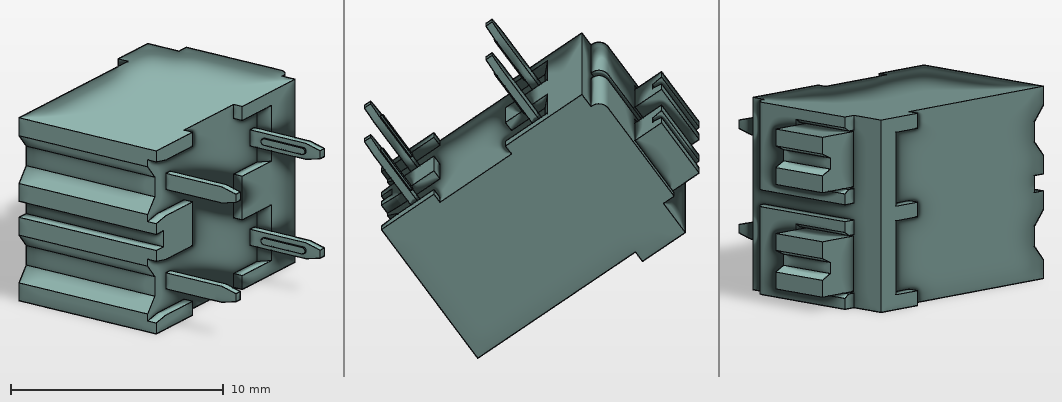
import cadquery as cq

TOTAL_X = 11.9
TOTAL_Y = 13.65
TOTAL_Z = 9.2
POLE_PITCH = 5.0
POLE_CENTRES = (-POLE_PITCH / 2, POLE_PITCH / 2)

FLANGE_LIP = 0.57
HOUSING_X = 8.4
SHOULDER_Y = 11.56
FLANGE_BOTTOM_Y = 9.09
FLANGE_NOTCH_TOP_Y = 10.55
FLANGE_NOTCH_CENTRE = 2.12
FLANGE_NOTCH_WIDTH = 3.54

RIDGE_START_X = 1.77
RIDGE_END_X = 7.66
RIDGE_TOP_Y = 12.18
RIDGE_CORNER_RADIUS = 0.55
OPENING_WIDTH = 2.8
MOUTH_CHAMFER_Z = 0.18
MOUTH_CHAMFER_Y = 0.26

POLE_GAP = 0.8
V_GROOVE_DEPTH = 0.6
V_GROOVE_WIDTH = 2.4
V_GROOVE_FLOOR = 0.98

RECESS_FLOOR_X = 7.9
RECESS_START_Y = 3.03
RECESS_END_Y = 7.15
WINDOW_TAPER_Z = 0.15
WINDOW_TAPER_Y = 0.8
WINDOW_RAMP_START_Y = FLANGE_BOTTOM_Y

LEVER_START_X = 1.82
LEVER_LENGTH_X = 3.06
LEVER_WIDTH = 2.65
LEVER_CLEARANCE = 0.1
LEVER_NOTCH_WIDTH = 1.04
LEVER_NOTCH_FLOOR = 0.53
LEVER_NOTCH_DEPTH = 0.53

PIN_WIDTH = 0.8
PIN_THICKNESS = 0.37
LOWER_PIN_Y = 1.69
UPPER_PIN_Y = 8.7
PIN_TAPER_START_X = 11.1
PIN_TIP_WIDTH = 0.41
PIN_ROOT_DEPTH = 0.55
RIB_START_X = 8.6
RIB_END_X = 11.1
RIB_WIDTH = 0.33
RIB_HEIGHT = 0.1


def box(x_range, y_range, z_range):
    """Axis-aligned block given by its limits along each axis."""
    (x0, x1), (y0, y1), (z0, z1) = x_range, y_range, z_range
    return cq.Workplane("XY").box(x1 - x0, y1 - y0, z1 - z0, centered=False).translate((x0, y0, z0))


def around(centre, width):
    """Limits of a stretch of the given width about a centre."""
    return (centre - width / 2, centre + width / 2)


def extrude_along_x(points, x_start, x_end):
    """Prism along X from a (y, z) outline."""
    return cq.Workplane("YZ").workplane(offset=x_start).polyline(points).close().extrude(x_end - x_start)


def housing():
    full_height = around(0, TOTAL_Z)
    body = box((FLANGE_LIP, HOUSING_X), (0, SHOULDER_Y), full_height)
    flange = box((0, FLANGE_LIP), (FLANGE_BOTTOM_Y, SHOULDER_Y), full_height)
    for side in (-1, 1):
        notch_z = around(side * FLANGE_NOTCH_CENTRE, FLANGE_NOTCH_WIDTH)
        flange = flange.cut(box((0, FLANGE_LIP), (FLANGE_BOTTOM_Y, FLANGE_NOTCH_TOP_Y), notch_z))
    ridge = box((RIDGE_START_X, RIDGE_END_X), (SHOULDER_Y, RIDGE_TOP_Y), full_height)
    ridge = ridge.edges(">X and >Y").fillet(RIDGE_CORNER_RADIUS)
    recess = box((RECESS_FLOOR_X, HOUSING_X), (RECESS_START_Y, RECESS_END_Y), full_height)
    return body.union(flange).union(ridge).cut(recess)


def pole_gap():
    """Slots that part the two poles on the underside and on the ridge."""
    gap = around(0, POLE_GAP)
    bottom = box((0, HOUSING_X), (0, V_GROOVE_DEPTH), gap)
    top = box((0, HOUSING_X), (SHOULDER_Y, RIDGE_TOP_Y), gap)
    return bottom.union(top)


def v_groove(z):
    mouth = V_GROOVE_WIDTH / 2
    floor = V_GROOVE_FLOOR / 2
    points = [
        (0, z - mouth),
        (V_GROOVE_DEPTH, z - floor),
        (V_GROOVE_DEPTH, z + floor),
        (0, z + mouth),
    ]
    return extrude_along_x(points, 0, HOUSING_X)


def lower_window(z):
    """Pin window below the recess, tapering inwards from the underside."""
    narrow = OPENING_WIDTH / 2
    wide = narrow + WINDOW_TAPER_Z
    points = [
        (0, z - wide),
        (WINDOW_TAPER_Y, z - narrow),
        (RECESS_START_Y, z - narrow),
        (RECESS_START_Y, z + narrow),
        (WINDOW_TAPER_Y, z + narrow),
        (0, z + wide),
    ]
    return extrude_along_x(points, RECESS_FLOOR_X, HOUSING_X)


def upper_window(z):
    """Pin window above the recess, running out to the +X face on a 45 degree ramp."""
    ramp = HOUSING_X - RECESS_FLOOR_X
    outline = [
        (RECESS_FLOOR_X, RECESS_END_Y),
        (HOUSING_X, RECESS_END_Y),
        (HOUSING_X, WINDOW_RAMP_START_Y + ramp),
        (RECESS_FLOOR_X, WINDOW_RAMP_START_Y),
    ]
    bottom = z - OPENING_WIDTH / 2
    return cq.Workplane("XY").workplane(offset=bottom).polyline(outline).close().extrude(OPENING_WIDTH)


def lever_opening(z):
    """Opening through the ridge, open towards -X, with a chamfered mouth."""
    narrow = OPENING_WIDTH / 2
    wide = narrow + MOUTH_CHAMFER_Z
    chamfer_y = RIDGE_TOP_Y - MOUTH_CHAMFER_Y
    points = [
        (SHOULDER_Y, z - narrow),
        (chamfer_y, z - narrow),
        (RIDGE_TOP_Y, z - wide),
        (RIDGE_TOP_Y, z + wide),
        (chamfer_y, z + narrow),
        (SHOULDER_Y, z + narrow),
    ]
    return extrude_along_x(points, 0, LEVER_START_X + LEVER_LENGTH_X + LEVER_CLEARANCE)


def lever(z):
    """Push lever with a flared notch across its end."""
    half = LEVER_WIDTH / 2
    notch = LEVER_NOTCH_WIDTH / 2
    floor = LEVER_NOTCH_FLOOR / 2
    floor_y = TOTAL_Y - LEVER_NOTCH_DEPTH
    points = [
        (SHOULDER_Y, z - half),
        (TOTAL_Y, z - half),
        (TOTAL_Y, z - notch),
        (floor_y, z - floor),
        (floor_y, z + floor),
        (TOTAL_Y, z + notch),
        (TOTAL_Y, z + half),
        (SHOULDER_Y, z + half),
    ]
    return extrude_along_x(points, LEVER_START_X, LEVER_START_X + LEVER_LENGTH_X)


def pin(y, z, rib_side):
    """Flat pin with a tapered tip and a stiffening rib on its +Y or -Y face."""
    half = PIN_WIDTH / 2
    tip = PIN_TIP_WIDTH / 2
    root_x = RECESS_FLOOR_X - PIN_ROOT_DEPTH
    outline = [
        (root_x, z - half),
        (PIN_TAPER_START_X, z - half),
        (TOTAL_X, z - tip),
        (TOTAL_X, z + tip),
        (PIN_TAPER_START_X, z + half),
        (root_x, z + half),
    ]
    blade_sketch = cq.Workplane("XZ", origin=(0, y, 0)).polyline(outline).close()
    blade = blade_sketch.extrude(PIN_THICKNESS / 2, both=True)
    rib_centre_y = y + rib_side * PIN_THICKNESS / 2
    rib = (
        cq.Workplane("XZ", origin=((RIB_START_X + RIB_END_X) / 2, rib_centre_y, z))
        .slot2D(RIB_END_X - RIB_START_X, RIB_WIDTH)
        .extrude(RIB_HEIGHT, both=True)
    )
    return blade.union(rib)


result = housing().cut(pole_gap())
for pole_z in POLE_CENTRES:
    for opening in (v_groove, lower_window, upper_window, lever_opening):
        result = result.cut(opening(pole_z))
    result = result.union(lever(pole_z))
    result = result.union(pin(LOWER_PIN_Y, pole_z, 1))
    result = result.union(pin(UPPER_PIN_Y, pole_z, -1))